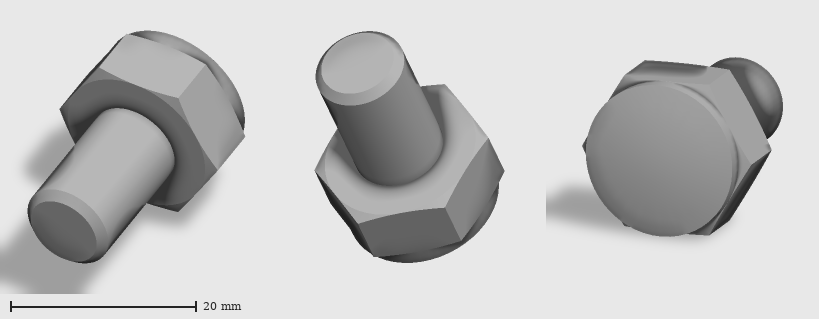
import cadquery as cq
import math

across_flats = 17.0
hex_sides = 6
head_height = 10.0
hex_height = 7.0
dome_sphere_radius = 30.0
hex_chamfer_angle = 20.0
shank_diameter = 10.0
shank_length = 16.0
tip_chamfer = 0.92
neck_diameter = 7.7
neck_length = 0.5

flat_radius = across_flats / 2
corner_radius = flat_radius / math.cos(math.pi / hex_sides)
hex_chamfer_depth = (corner_radius - flat_radius) * math.tan(math.radians(hex_chamfer_angle))
dome_height = dome_sphere_radius - math.sqrt(dome_sphere_radius**2 - flat_radius**2)
collar_top = head_height - dome_height
shank_radius = shank_diameter / 2
neck_radius = neck_diameter / 2


def revolve_about_axis(profile):
    """Turn a closed profile, drawn as (radius, Y), fully around the Y axis."""
    return profile.close().revolve(360, (0, 0, 0), (0, 1, 0))


def hexagon():
    """Hexagonal section with corners on +X and -X, chamfered to the flats at both ends."""
    prism = (
        cq.Workplane("XZ")
        .polygon(hex_sides, 2 * corner_radius)
        .extrude(-hex_height)
    )
    chamfer_envelope = revolve_about_axis(
        cq.Workplane("XY")
        .moveTo(0, 0)
        .lineTo(flat_radius, 0)
        .lineTo(corner_radius, hex_chamfer_depth)
        .lineTo(corner_radius, hex_height - hex_chamfer_depth)
        .lineTo(flat_radius, hex_height)
        .lineTo(0, hex_height)
    )
    return prism.intersect(chamfer_envelope)


def domed_collar():
    """Round collar on top of the hexagon, closed by a shallow spherical dome."""
    half_chord_angle = math.asin(flat_radius / dome_sphere_radius) / 2
    dome_center = head_height - dome_sphere_radius
    arc_middle = (
        dome_sphere_radius * math.sin(half_chord_angle),
        dome_center + dome_sphere_radius * math.cos(half_chord_angle),
    )
    return revolve_about_axis(
        cq.Workplane("XY")
        .moveTo(0, hex_height)
        .lineTo(flat_radius, hex_height)
        .lineTo(flat_radius, collar_top)
        .threePointArc(arc_middle, (0, head_height))
    )


def shank():
    """Undercut neck below the head, then the plain shank with a chamfered tip."""
    return revolve_about_axis(
        cq.Workplane("XY")
        .moveTo(0, 0)
        .lineTo(neck_radius, 0)
        .lineTo(neck_radius, -neck_length)
        .lineTo(shank_radius, -neck_length)
        .lineTo(shank_radius, -shank_length + tip_chamfer)
        .lineTo(shank_radius - tip_chamfer, -shank_length)
        .lineTo(0, -shank_length)
    )


result = hexagon().union(domed_collar()).union(shank())